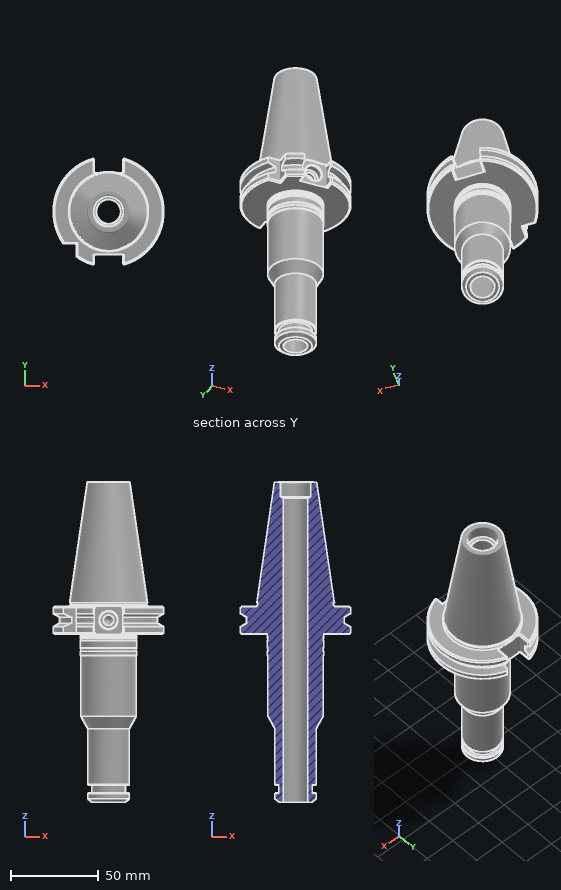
import cadquery as cq
import math

overall_length = 183.75

gauge_radius = 44.45 / 2
taper_length = 68.25
taper_rate = 7 / 24
tip_radius = gauge_radius - taper_length * taper_rate / 2
tip_fillet = 0.8
bottom_z = taper_length - overall_length

taper_end_z = -1.1
taper_end_radius = gauge_radius - taper_end_z * taper_rate / 2
relief_radius = 21.8
relief_flare_z = -2.2
relief_foot_radius = 22.9

flange_radius = 63.55 / 2
flange_top_z = -3.2
flange_bottom_z = -19.0
flange_chamfer = 0.8
groove_center_z = -11.05
groove_floor_radius = 56.25 / 2
groove_floor_half_width = 1.65
groove_flank_angle = 30
groove_depth = flange_radius - groove_floor_radius
groove_mouth_half_width = groove_floor_half_width + groove_depth * math.tan(math.radians(groove_flank_angle))

slot_width = 16.2
front_slot_floor = 24.6
back_slot_floor = 22.4
notch_wall = 18.5
corner_fillet = 0.5

side_hole_radius = 6 / 2
side_hole_depth = 8.0
side_hole_tip_angle = 118
side_counterbore_radius = 10 / 2
side_counterbore_depth = 5.0
side_counterbore_chamfer = 0.4

collar_radius = 32.5 / 2
body_radius = 32 / 2
collar_chamfer = collar_radius - body_radius
collars = [(flange_bottom_z, -20.2), (-20.9, -21.7), (-22.8, -27.2), (-28.9, -31.4)]
body_bottom_z = -66.0
nose_radius = 24 / 2
nose_top_z = -73.3
neck_radius = 19.5 / 2
neck_top_z = -105.6
neck_bottom_z = -110.1
neck_edge_chamfer = 0.5
end_chamfer_radius = 9.5
end_chamfer_height = 2.0

bore_radius = 13.84 / 2
socket_radius = 17 / 2
socket_depth = 8.4
socket_floor_angle = 118
socket_mouth_radius = 19.5 / 2
socket_mouth_rounding = socket_mouth_radius - socket_radius


def revolve_profile(points):
    """Turn (radius, z) points into a solid of revolution about Z."""
    return cq.Workplane("XZ").polyline(points).close().revolve(360, (0, 0), (0, 1))


def collar_points():
    """Outline of the collars, each chamfered down to the body at its lower edge."""
    points = []
    for top_z, low_z in collars:
        points += [
            (body_radius, top_z),
            (collar_radius, top_z),
            (collar_radius, low_z + collar_chamfer),
            (body_radius, low_z),
        ]
    return points


def make_blank():
    blank = revolve_profile([
        (0, taper_length),
        (tip_radius, taper_length),
        (taper_end_radius, taper_end_z),
        (relief_radius, taper_end_z),
        (relief_radius, relief_flare_z),
        (relief_foot_radius, flange_top_z),
        (flange_radius - flange_chamfer, flange_top_z),
        (flange_radius, flange_top_z - flange_chamfer),
        (flange_radius, groove_center_z + groove_mouth_half_width),
        (groove_floor_radius, groove_center_z + groove_floor_half_width),
        (groove_floor_radius, groove_center_z - groove_floor_half_width),
        (flange_radius, groove_center_z - groove_mouth_half_width),
        (flange_radius, flange_bottom_z + flange_chamfer),
        (flange_radius - flange_chamfer, flange_bottom_z),
        *collar_points(),
        (body_radius, body_bottom_z),
        (nose_radius, nose_top_z),
        (nose_radius, neck_top_z + neck_edge_chamfer),
        (nose_radius - neck_edge_chamfer, neck_top_z),
        (neck_radius, neck_top_z),
        (neck_radius, neck_bottom_z),
        (nose_radius - neck_edge_chamfer, neck_bottom_z),
        (nose_radius, neck_bottom_z - neck_edge_chamfer),
        (nose_radius, bottom_z + end_chamfer_height),
        (end_chamfer_radius, bottom_z),
        (0, bottom_z),
    ])
    return blank.faces(">Z").edges().fillet(tip_fillet)


def make_bore():
    socket_floor_z = taper_length - socket_depth
    cone_height = (socket_radius - bore_radius) / math.tan(math.radians(socket_floor_angle / 2))
    return revolve_profile([
        (0, taper_length),
        (socket_radius, taper_length),
        (socket_radius, socket_floor_z),
        (bore_radius, socket_floor_z - cone_height),
        (bore_radius, bottom_z),
        (0, bottom_z),
    ])


def make_side_hole():
    """Counterbored blind hole with a conical tip, opening toward -Y."""
    mouth_y = -front_slot_floor
    tip_depth = side_hole_depth + side_hole_radius / math.tan(math.radians(side_hole_tip_angle / 2))
    profile = [
        (0, mouth_y),
        (side_counterbore_radius + side_counterbore_chamfer, mouth_y),
        (side_counterbore_radius, mouth_y + side_counterbore_chamfer),
        (side_counterbore_radius, mouth_y + side_counterbore_depth),
        (side_hole_radius, mouth_y + side_counterbore_depth),
        (side_hole_radius, mouth_y + side_hole_depth),
        (0, mouth_y + tip_depth),
    ]
    hole = cq.Workplane("XY").polyline(profile).close().revolve(360, (0, 0), (0, 1))
    return hole.translate((0, 0, groove_center_z))


def flared_block(center, size, flare):
    """Cutter through the flange that opens out by `flare` (x, y) at both flange faces."""
    block = (
        cq.Workplane("XY", origin=(*center, flange_bottom_z))
        .rect(*size)
        .extrude(flange_top_z - flange_bottom_z)
        .edges("|Z").fillet(corner_fillet)
    )
    for face_z, inward in ((flange_top_z, -1), (flange_bottom_z, 1)):
        flare_cut = (
            cq.Workplane("XY", origin=(*center, face_z))
            .rect(size[0] + 2 * flare[0], size[1] + 2 * flare[1])
            .workplane(offset=inward * flange_chamfer)
            .rect(*size)
            .loft(ruled=True)
        )
        block = block.union(flare_cut)
    return block


def make_slot(floor, side):
    """Drive slot on the +Y (side = 1) or -Y (side = -1) edge, with all wall edges chamfered."""
    depth = flange_radius - floor
    center = (0, side * (floor + depth / 2))
    slot = flared_block(center, (slot_width, depth), (flange_chamfer, 0))
    half_width = slot_width / 2
    mouth_half_width = half_width + flange_chamfer
    mouth_y = math.sqrt(flange_radius**2 - mouth_half_width**2)
    throat_y = mouth_y - flange_chamfer
    mouth = (
        cq.Workplane("XY", origin=(0, 0, flange_bottom_z))
        .polyline([
            (-half_width, side * throat_y),
            (half_width, side * throat_y),
            (mouth_half_width, side * mouth_y),
            (mouth_half_width, side * flange_radius),
            (-mouth_half_width, side * flange_radius),
            (-mouth_half_width, side * mouth_y),
        ])
        .close()
        .extrude(flange_top_z - flange_bottom_z)
    )
    return slot.union(mouth)


def make_notch():
    """Square orientation notch in the (-X, -Y) corner of the flange."""
    size = flange_radius - notch_wall
    center = -(notch_wall + size / 2)
    return flared_block((center, center), (size, size), (flange_chamfer, flange_chamfer))


body = make_blank().cut(make_bore())
inner_rim = cq.selectors.RadiusNthSelector(0)
result = body.faces(">Z").edges(inner_rim).fillet(socket_mouth_rounding)
cutters = [
    make_slot(front_slot_floor, -1),
    make_slot(back_slot_floor, 1),
    make_notch(),
    make_side_hole(),
]
for cutter in cutters:
    result = result.cut(cutter)